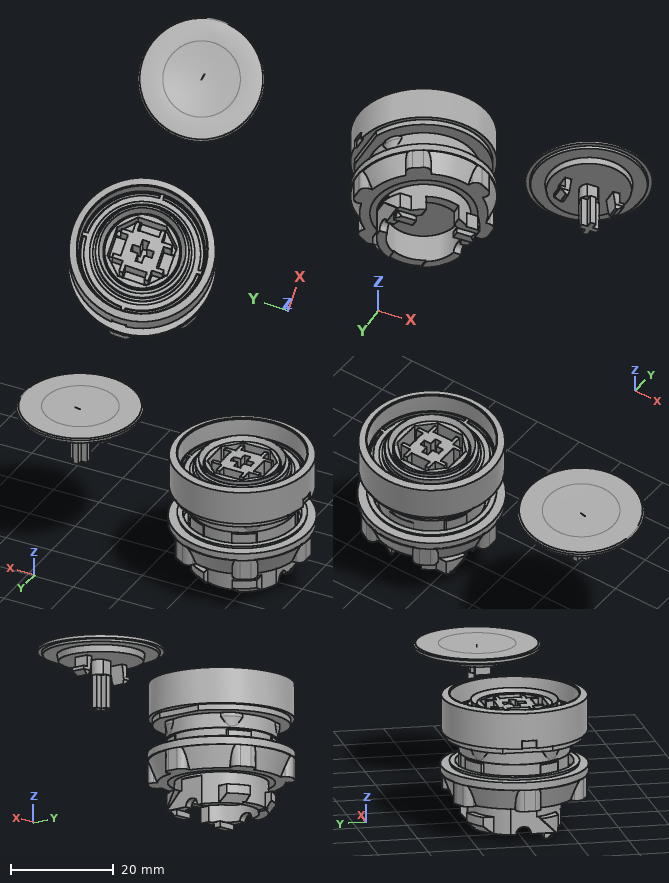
import cadquery as cq

barrel_radius = 10.5
collar_radius = 10.9
plunger_radius = 7.3
seal_flange_radius = 10.3
bezel_seat_radius = 12.35

nut_bottom = 7.4
nut_flange_bottom = 11.7
barrel_top = 15.9
gasket_bottom = 18.85
bezel_bottom = 20.05
floor_level = 23.55
plunger_top = 25.5

bezel_radius = 28.6 / 2
bezel_mouth_radius = 12.65
bezel_mouth = 27.3
bezel_edge = 27.2
bezel_crest = 27.55
bezel_crest_radius = 12.85
bezel_notch_width = 2.95
bezel_notch_height = 1.55
bezel_notch_depth = 0.5

gasket_radius = 13.5
gasket_flat_distance = 12.6

nut_radius = 29.0 / 2
nut_flange_top = 13.3
nut_washer_top = 13.85
nut_washer_top_radius = 12.7
nut_washer_base_radius = 12.5
nut_counterbore_radius = 11.6
nut_cone_top_radius = 14.3
nut_cone_bottom_radius = 12.5
nut_grip_count = 6
nut_grip_width = 5.0
nut_grip_rounding = 1.45

skirt_radius = 9.2
skirt_bottom = 1.2
skirt_flat_distance = 8.8
skirt_flat_top = 6.9
window_width = 7.0
window_top = 4.4
back_edge = 1.55
side_notch_radius = 1.5
front_notch_width = 5.95
front_notch_top = 14.4
front_notch_depth = 0.4
lug_top = 4.65
upper_lug_top = 15.5
front_lug_front = -6.95
front_lug_back = -3.0
back_lug_radius = 10.65
back_lug_outer = 7.25
back_lug_inner = 3.1
back_lug_chamfer_start = 2.8
foot_inner = 4.4
foot_outer = 8.45
foot_front = -5.8
foot_back = -4.2
foot_corner_cut = 1.0
boss_angles = (52, 128, 210, 330)
boss_center_distance = 7.7
boss_radius = 3.7
boss_taper_top = 18.15
boss_taper_bottom = 16.2
groove_inner_radius = 11.4
groove_outer_radius = 12.0
groove_depth = 0.95
groove_bridge_width = 0.8

seal_bottom = 22.55
seal_crest_radius = 8.5
seal_crest = 26.2
seal_lip_radius = 7.65
seal_lip = 24.8
seal_bead_inner_radius = 8.3
seal_bead_radius = 9.15
seal_bead_base = 25.2
seal_bead_top = 25.4
seal_step_radius = 9.65
seal_step = 24.1

plunger_bottom = 7.5
cavity_width = 12.35
cavity_corner_cut = 3.25
cavity_depth = 5.0
pocket_depth = 6.25
rib_reach = 5.2
rib_outer = 3.0
pocket_start = 3.7
pocket_half_width = 2.2
socket_span = 4.4
socket_arm_width = 1.3
socket_depth = 10.0

cap_x = 35.7
cap_radius = 24.85 / 2
cap_top = 28.2
cap_rim_top = 27.75
cap_edge_radius = 12.0
cap_edge = 27.9
cap_rim_bottom = 27.1
cap_step_radius = 11.6
cap_step_base_radius = 11.4
cap_step_bottom = 26.6
cap_skirt_radius = 8.6
cap_skirt_base_radius = 8.3
cap_skirt_bottom = 25.3
dish_radius = 7.6
dish_center = 27.1
dish_edge = 27.9
stem_radius = 1.95
stem_flat_distance = 1.55
stem_bottom = 22.3
cross_bottom = 15.65
cross_span = 3.8
cross_arm_width = 1.2
hook_width = 3.1
hook_root_inner = 4.5
hook_root_outer = 5.9
hook_barb_reach = 6.8
hook_tip_inner = 5.1
hook_tip_outer = 5.6
hook_barb_top = 23.05
hook_barb_bottom = 22.35
hook_tip = 21.5
hook_tip_width = 2.5


def disk(radius, bottom, top):
    return cq.Workplane("XY").workplane(offset=bottom).circle(radius).extrude(top - bottom)


def ring(outer, inner, bottom, top):
    return disk(outer, bottom, top).cut(disk(inner, bottom, top))


def block(x_range, y_range, z_range):
    """Box spanning the given (low, high) pair along each axis."""
    size = [high - low for low, high in (x_range, y_range, z_range)]
    low_corner = (x_range[0], y_range[0], z_range[0])
    return cq.Workplane("XY").box(*size, centered=False).translate(low_corner)


def turned(points):
    """Solid of revolution about Z from a closed (radius, height) outline."""
    return cq.Workplane("XZ").polyline(points).close().revolve(360, (0, 0, 0), (0, 1, 0))


def cross(span, arm_width, bottom, top):
    height = top - bottom
    base = cq.Workplane("XY").workplane(offset=bottom)
    return base.rect(span, arm_width).extrude(height).union(base.rect(arm_width, span).extrude(height))


def with_mirror(body):
    """The body together with its mirror image across the YZ plane."""
    return body.union(body.mirror("YZ"))


def make_bezel():
    body = turned([
        (bezel_seat_radius, bezel_bottom),
        (bezel_radius, bezel_bottom),
        (bezel_radius, bezel_edge),
        (bezel_crest_radius, bezel_crest),
        (bezel_mouth_radius, bezel_mouth),
        (bezel_seat_radius, floor_level),
    ])
    notch = block(
        (-bezel_radius, -bezel_radius + bezel_notch_depth),
        (-bezel_notch_width / 2, bezel_notch_width / 2),
        (bezel_bottom, bezel_bottom + bezel_notch_height),
    )
    return body.cut(notch)


def make_gasket():
    body = ring(gasket_radius, collar_radius, gasket_bottom, bezel_bottom)
    trim = block(
        (-gasket_flat_distance, gasket_flat_distance),
        (-gasket_radius, gasket_radius),
        (gasket_bottom, bezel_bottom),
    )
    return body.intersect(trim)


def nut_grip():
    grip = block(
        (barrel_radius, nut_radius),
        (-nut_grip_width / 2, nut_grip_width / 2),
        (nut_bottom, nut_flange_bottom),
    )
    return grip.edges("|Z and >X").fillet(nut_grip_rounding)


def make_nut():
    body = turned([
        (0, nut_bottom),
        (nut_cone_bottom_radius, nut_bottom),
        (nut_cone_top_radius, nut_flange_bottom),
        (nut_radius, nut_flange_bottom),
        (nut_radius, nut_flange_top),
        (nut_washer_base_radius, nut_flange_top),
        (nut_washer_top_radius, nut_washer_top),
        (0, nut_washer_top),
    ])
    for index in range(nut_grip_count):
        body = body.union(nut_grip().rotate((0, 0, 0), (0, 0, 1), index * 360 / nut_grip_count))
    body = body.cut(disk(barrel_radius, nut_bottom, nut_washer_top))
    return body.cut(disk(nut_counterbore_radius, nut_flange_bottom, nut_washer_top))


def front_lug_blank(bottom, top):
    return block((-collar_radius, 0), (front_lug_front, front_lug_back), (bottom, top))


def back_lug_blank(bottom, top):
    return block((-back_lug_outer, -back_lug_inner), (0, collar_radius), (bottom, top))


def front_lug():
    """Lower bayonet lug whose tip beyond the skirt flats is undercut by a 45 degree ramp."""
    height = lug_top - skirt_bottom
    ramp = (
        cq.Workplane("YZ")
        .polyline([
            (front_lug_back, lug_top),
            (front_lug_back - height, skirt_bottom),
            (front_lug_front, skirt_bottom),
            (front_lug_front, lug_top),
        ])
        .close()
        .extrude(-collar_radius)
    )
    root = block((-skirt_flat_distance, 0), (front_lug_front, 0), (skirt_bottom, lug_top))
    return ramp.union(root).intersect(disk(collar_radius, skirt_bottom, lug_top))


def back_lug():
    """Lower bayonet lug with a conical underside."""
    tapered_disk = turned([
        (0, skirt_bottom),
        (skirt_radius, skirt_bottom),
        (back_lug_radius, back_lug_chamfer_start),
        (back_lug_radius, lug_top),
        (0, lug_top),
    ])
    return back_lug_blank(skirt_bottom, lug_top).intersect(tapered_disk)


def upper_lugs():
    blanks = front_lug_blank(nut_flange_bottom, upper_lug_top)
    blanks = blanks.union(back_lug_blank(nut_flange_bottom, upper_lug_top))
    sleeve = ring(collar_radius, plunger_radius, nut_flange_bottom, upper_lug_top)
    return with_mirror(blanks.intersect(sleeve))


def collar_boss(angle):
    """Upright boss swelling out of the collar, tapering into it at the bottom."""
    taper_end_radius = collar_radius - boss_center_distance
    boss = turned([
        (0, boss_taper_bottom),
        (taper_end_radius, boss_taper_bottom),
        (boss_radius, boss_taper_top),
        (boss_radius, gasket_bottom),
        (0, gasket_bottom),
    ])
    return boss.translate((boss_center_distance, 0, 0)).rotate((0, 0, 0), (0, 0, 1), angle)


def foot():
    body = block((-foot_outer, -foot_inner), (foot_front, foot_back), (0, skirt_bottom))
    corner_plane = cq.Plane(
        origin=(-foot_outer + foot_corner_cut, foot_front, 0), xDir=(1, -1, 0), normal=(-1, -1, -1))
    corner = cq.Workplane(corner_plane).circle(2 * foot_corner_cut).extrude(2 * foot_corner_cut)
    return body.cut(corner)


def floor_groove():
    """Ring groove in the floor, interrupted by bridges on the X and Y axes."""
    bottom = floor_level - groove_depth
    bridges = cross(2 * groove_outer_radius, groove_bridge_width, bottom, floor_level)
    return ring(groove_outer_radius, groove_inner_radius, bottom, floor_level).cut(bridges)


def make_housing():
    skirt_cut = block(
        (-skirt_flat_distance, skirt_flat_distance),
        (-skirt_radius, skirt_radius),
        (skirt_bottom, skirt_flat_top),
    )
    skirt = disk(skirt_radius, skirt_bottom, skirt_flat_top).intersect(skirt_cut)
    body = skirt.union(disk(skirt_radius, skirt_flat_top, nut_bottom))
    body = body.union(disk(barrel_radius, nut_bottom, barrel_top))
    body = body.union(disk(collar_radius, barrel_top, bezel_bottom))
    body = body.union(disk(bezel_seat_radius, bezel_bottom, floor_level))
    body = body.union(with_mirror(front_lug().union(back_lug())))
    for angle in boss_angles:
        body = body.union(collar_boss(angle))

    body = body.cut(disk(plunger_radius, skirt_bottom, floor_level))
    body = body.cut(disk(seal_flange_radius, seal_bottom, floor_level))
    body = body.union(upper_lugs())

    window = block(
        (-window_width / 2, window_width / 2), (-collar_radius, 0), (skirt_bottom, window_top))
    back_relief = block(
        (-window_width / 2, window_width / 2), (0, collar_radius), (skirt_bottom, back_edge))
    side_notch = (
        cq.Workplane("YZ").center(0, skirt_bottom).circle(side_notch_radius)
        .extrude(collar_radius, both=True)
    )
    front_notch = block(
        (-front_notch_width / 2, front_notch_width / 2),
        (-barrel_radius, -barrel_radius + front_notch_depth),
        (nut_flange_bottom, front_notch_top),
    )
    for pocket in (window, back_relief, side_notch, front_notch, floor_groove()):
        body = body.cut(pocket)
    return body.union(with_mirror(foot()))


def make_seal():
    bead_middle = (seal_bead_inner_radius + seal_bead_radius) / 2
    return (
        cq.Workplane("XZ")
        .moveTo(plunger_radius, seal_bottom)
        .lineTo(seal_flange_radius, seal_bottom)
        .lineTo(seal_flange_radius, floor_level)
        .lineTo(seal_step_radius, floor_level)
        .lineTo(seal_step_radius, seal_step)
        .lineTo(seal_bead_radius, seal_step)
        .lineTo(seal_bead_radius, seal_bead_base)
        .threePointArc((bead_middle, seal_bead_top), (seal_bead_inner_radius, seal_bead_base))
        .lineTo(seal_crest_radius, seal_crest)
        .lineTo(seal_lip_radius, seal_lip)
        .lineTo(plunger_radius, seal_lip)
        .close()
        .revolve(360, (0, 0, 0), (0, 1, 0))
    )


def make_plunger():
    floor = plunger_top - cavity_depth
    cavity = (
        cq.Workplane("XY").workplane(offset=floor).rect(cavity_width, cavity_width)
        .extrude(cavity_depth).edges("|Z").chamfer(cavity_corner_cut)
    )
    core = cross(2 * rib_reach, 2 * rib_outer, floor, plunger_top)
    body = disk(plunger_radius, plunger_bottom, plunger_top).cut(cavity).union(core)
    pocket = block(
        (pocket_start, cavity_width / 2),
        (-pocket_half_width, pocket_half_width),
        (plunger_top - pocket_depth, plunger_top),
    )
    for quarter in range(4):
        body = body.cut(pocket.rotate((0, 0, 0), (0, 0, 1), quarter * 90))
    socket = cross(socket_span, socket_arm_width, plunger_top - socket_depth, plunger_top)
    return body.cut(socket)


def cap_disk():
    dish_arc_radius = (dish_radius**2 + (dish_edge - dish_center)**2) / (2 * (dish_edge - dish_center))
    dish_mid = dish_center + (dish_radius / 2)**2 / (2 * dish_arc_radius)
    crown_mid = (dish_radius + cap_edge_radius) / 2
    return (
        cq.Workplane("XZ")
        .moveTo(0, dish_center)
        .threePointArc((dish_radius / 2, dish_mid), (dish_radius, dish_edge))
        .threePointArc((crown_mid, cap_top), (cap_edge_radius, cap_edge))
        .lineTo(cap_radius, cap_rim_top)
        .lineTo(cap_radius, cap_rim_bottom)
        .lineTo(cap_step_radius, cap_rim_bottom)
        .lineTo(cap_step_base_radius, cap_step_bottom)
        .lineTo(cap_skirt_radius, cap_step_bottom)
        .lineTo(cap_skirt_base_radius, cap_skirt_bottom)
        .lineTo(0, cap_skirt_bottom)
        .close()
        .revolve(360, (0, 0, 0), (0, 1, 0))
    )


def snap_hook():
    """Hook whose tip below the barb also narrows from both ends."""
    profile = (
        cq.Workplane("XZ")
        .polyline([
            (hook_root_inner, cap_skirt_bottom),
            (hook_root_outer, cap_skirt_bottom),
            (hook_root_outer, hook_barb_top),
            (hook_barb_reach, hook_barb_top),
            (hook_barb_reach, hook_barb_bottom),
            (hook_tip_outer, hook_tip),
            (hook_tip_inner, hook_tip),
        ])
        .close()
        .extrude(hook_width / 2, both=True)
    )
    end_taper = (
        cq.Workplane("YZ")
        .polyline([
            (-hook_width / 2, cap_skirt_bottom),
            (hook_width / 2, cap_skirt_bottom),
            (hook_width / 2, hook_barb_bottom),
            (hook_tip_width / 2, hook_tip),
            (-hook_tip_width / 2, hook_tip),
            (-hook_width / 2, hook_barb_bottom),
        ])
        .close()
        .extrude(hook_barb_reach)
    )
    return profile.intersect(end_taper)


def make_cap():
    flat_width = 2 * stem_flat_distance
    stem = disk(stem_radius, stem_bottom, cap_skirt_bottom).intersect(
        cq.Workplane("XY").workplane(offset=stem_bottom).rect(flat_width * 2, flat_width)
        .extrude(cap_skirt_bottom - stem_bottom))
    body = cap_disk().union(stem)
    body = body.union(cross(cross_span, cross_arm_width, cross_bottom, stem_bottom))
    body = body.union(with_mirror(snap_hook()))
    return body.translate((cap_x, 0, 0))


bezel = make_bezel()
gasket = make_gasket()
nut = make_nut()
housing = make_housing()
seal = make_seal()
plunger = make_plunger()
cap = make_cap()

result = cq.Compound.makeCompound([
    bezel.val(),
    gasket.val(),
    nut.val(),
    housing.val(),
    seal.val(),
    plunger.val(),
    cap.val(),
])